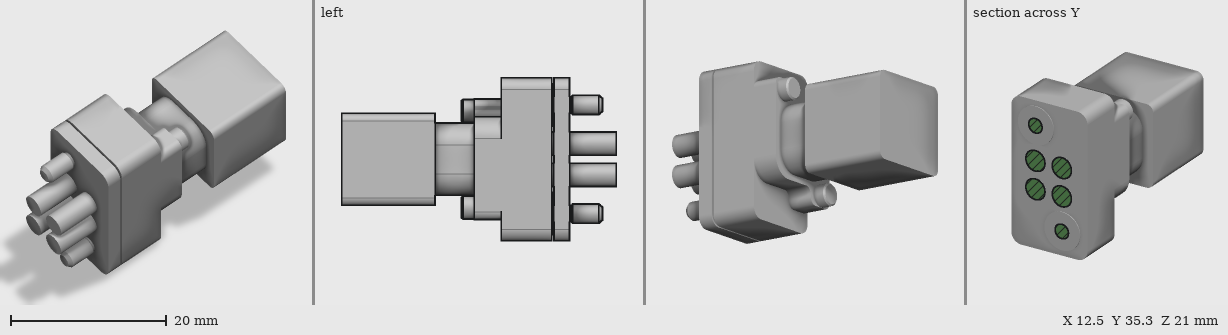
import cadquery as cq

cable_length = 6.0
plate_thickness = 2.0
gap = 0.3
block_length = 6.5
flange_length = 3.5
neck_length = 5.0
housing_length = 12.0

plate_front = cable_length
block_front = plate_front + plate_thickness + gap
flange_front = block_front + block_length
neck_front = flange_front + flange_length
housing_front = neck_front + neck_length

block_width = 11.6
block_height = 21.0
block_radius = 1.52
neck_width = 9.32
neck_radius = 2.8
housing_width = 12.5
housing_height = 11.85
housing_radius = 1.0

flange_height = 15.5
flange_step_height = 10.95
lug_inner_x = 1.75
flange_corner_radius = 2.8
lug_radius = 1.0

cable_diameter = 3.0
cable_offset = 2.0
pin_diameter = 2.5
pin_neck_diameter = 2.12
pin_offset_z = 7.0
pin_protrusion = 4.25
pin_neck_length = 0.2
pin_tip_length = 0.5
pin_tip_diameter = 1.7
pin_shoulder_length = (pin_diameter - pin_neck_diameter) / 2
boss_diameter = 5.45
boss_thickness = 0.1

head_diameter = 3.0
head_height = 1.62
head_chamfer = 0.2
head_x = 4.0
head_z = 6.2


def plane_at(y):
    """Sketch plane facing -Y; local axes are X and Z."""
    return cq.Workplane("XZ", origin=(0, y, 0))


def rounded_bar(y, width, height, length, radius):
    return plane_at(y).rect(width, height).extrude(-length).edges("|Y").fillet(radius)


def rod(x, z, y, diameter, length):
    return plane_at(y).center(x, z).circle(diameter / 2).extrude(-length)


def make_flange():
    side = block_width / 2
    lug_z = flange_height / 2
    step_z = flange_step_height / 2
    half_outline = [
        (side, -step_z, flange_corner_radius),
        (side, lug_z, lug_radius),
        (lug_inner_x, lug_z, lug_radius),
        (lug_inner_x, step_z, lug_radius),
    ]
    corners = half_outline + [(-x, -z, radius) for x, z, radius in half_outline]
    outline = [(x, z) for x, z, _ in corners]
    flange = plane_at(flange_front).polyline(outline).close().extrude(-flange_length)
    middle_y = flange_front + flange_length / 2
    for x, z, radius in corners:
        corner_edge = cq.selectors.NearestToPointSelector((x, middle_y, z))
        flange = flange.edges(corner_edge).fillet(radius)
    return flange


def make_pin(x, z):
    """Pin revolved about Y, from its tapered tip back into the block."""
    tip_y = plate_front - pin_protrusion
    tip_end_y = tip_y + pin_tip_length
    shoulder_end_y = plate_front - pin_neck_length
    shoulder_y = shoulder_end_y - pin_shoulder_length
    profile = [
        (0, tip_y),
        (pin_tip_diameter / 2, tip_y),
        (pin_diameter / 2, tip_end_y),
        (pin_diameter / 2, shoulder_y),
        (pin_neck_diameter / 2, shoulder_end_y),
        (pin_neck_diameter / 2, block_front),
        (0, block_front),
    ]
    pin = cq.Workplane("XY").polyline(profile).close().revolve(360, (0, 0), (0, 1))
    return pin.translate((x, 0, z))


def make_screw_head(x, z):
    head = rod(x, z, neck_front, head_diameter, head_height)
    return head.faces(">Y").edges().chamfer(head_chamfer)


result = rounded_bar(plate_front, block_width, block_height, plate_thickness, block_radius)
result = result.union(rounded_bar(block_front, block_width, block_height, block_length, block_radius))
result = result.union(make_flange())
result = result.union(rounded_bar(neck_front, neck_width, neck_width, neck_length, neck_radius))
result = result.union(
    rounded_bar(housing_front, housing_width, housing_height, housing_length, housing_radius)
)

for x in (-cable_offset, cable_offset):
    for z in (-cable_offset, cable_offset):
        result = result.union(rod(x, z, 0, cable_diameter, block_front))

for sign in (1, -1):
    pin_x = -sign * cable_offset
    pin_z = sign * pin_offset_z
    result = result.union(make_pin(pin_x, pin_z))
    result = result.union(rod(pin_x, pin_z, block_front - boss_thickness, boss_diameter, boss_thickness))
    result = result.union(make_screw_head(sign * head_x, sign * head_z))